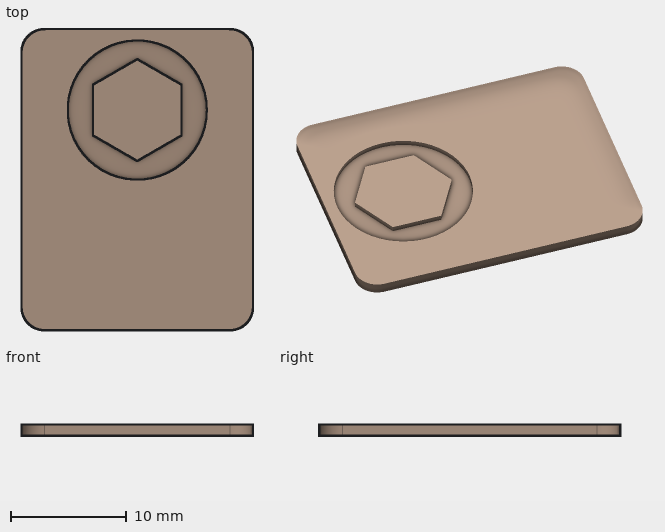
import cadquery as cq

plate_width = 20.0
plate_length = 26.0
plate_thickness = 1.0
corner_radius = 2.0

recess_diameter = 12.0
recess_edge_margin = 1.0
recess_depth = 0.5
hexagon_corner_diameter = 8.8

recess_center_y = plate_length / 2 - recess_edge_margin - recess_diameter / 2


def rounded_plate():
    """Flat plate standing on Z = 0 with rounded vertical corners."""
    return (
        cq.Workplane("XY")
        .box(plate_width, plate_length, plate_thickness, centered=(True, True, False))
        .edges("|Z")
        .fillet(corner_radius)
    )


def recess_around_hexagon():
    """Ring-shaped cut, round outside and hexagonal inside, with hexagon corners on the Y axis."""
    floor = cq.Workplane("XY", origin=(0, recess_center_y, plate_thickness - recess_depth))
    disc = floor.circle(recess_diameter / 2).extrude(recess_depth)
    hexagon = (
        floor.transformed(rotate=(0, 0, 90))
        .polygon(6, hexagon_corner_diameter)
        .extrude(recess_depth)
    )
    return disc.cut(hexagon)


result = rounded_plate().cut(recess_around_hexagon())